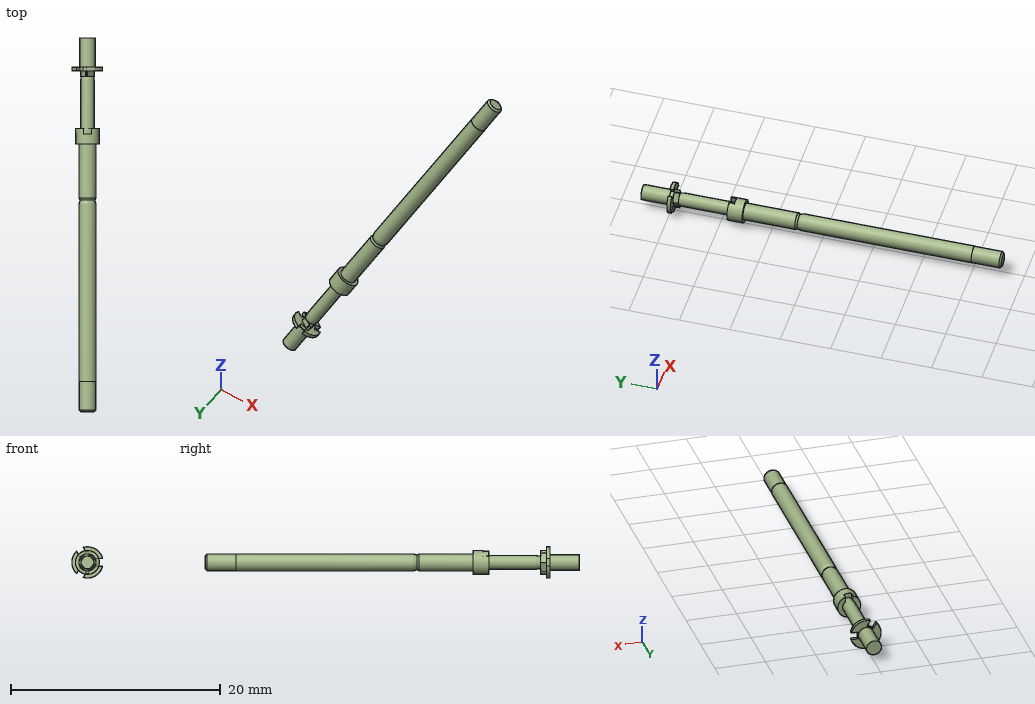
import cadquery as cq
import math

LENGTH = 35.7

TIP_DIAMETER = 1.6
SHAFT_DIAMETER = 1.32
BARREL_R = 0.82
TIP_R = TIP_DIAMETER / 2
TIP_FACE_R = 0.6
GROOVE_R = 0.7
COLLAR_R = 1.15
SHAFT_R = SHAFT_DIAMETER / 2
NECK_R = 0.6
FLANGE_R = 1.5
TAIL_R = 0.75

TIP_CHAMFER = 0.18
TIP_LENGTH = 2.93
GROOVE_START = 19.85
GROOVE_BOTTOM = 20.2
GROOVE_END = 20.42
COLLAR_START = 25.55
COLLAR_END = 27.05
NECK_START = 31.6
HUB_START = 32.02
FLANGE_START = 32.55
FLANGE_END = 32.9

SLOT_COUNT = 3
SLOT_WIDTH = 0.7
SLOT_FLOOR_R = 0.82

KEY_WIDTH = 0.75
KEY_LENGTH = 0.55

HUB_FACE_ANGLE = 30
HUB_HALF_HEIGHT = COLLAR_R
HUB_HALF_WIDTH = HUB_HALF_HEIGHT * math.tan(math.radians(HUB_FACE_ANGLE))


def front_body():
    profile = [
        (0, 0),
        (TIP_FACE_R, 0),
        (TIP_R, TIP_CHAMFER),
        (TIP_R, TIP_LENGTH),
        (BARREL_R, TIP_LENGTH),
        (BARREL_R, GROOVE_START),
        (GROOVE_R, GROOVE_BOTTOM),
        (BARREL_R, GROOVE_END),
        (BARREL_R, COLLAR_START),
        (COLLAR_R, COLLAR_START),
        (COLLAR_R, COLLAR_END),
        (SHAFT_R, COLLAR_END),
        (SHAFT_R, NECK_START),
        (NECK_R, HUB_START),
        (0, HUB_START),
    ]
    return cq.Workplane("XY").polyline(profile).close().revolve(360, (0, 0, 0), (0, 1, 0))


def disc(radius, start, end):
    return cq.Workplane("XZ", origin=(0, start, 0)).circle(radius).extrude(start - end)


def hub():
    outline = [
        (HUB_HALF_WIDTH, 0),
        (0, HUB_HALF_HEIGHT),
        (-HUB_HALF_WIDTH, 0),
        (0, -HUB_HALF_HEIGHT),
    ]
    plane = cq.Workplane("XZ", origin=(0, HUB_START, 0))
    return plane.polyline(outline).close().extrude(HUB_START - FLANGE_START)


def rim_slots():
    first_slot = cq.Workplane("XY").box(
        FLANGE_R, FLANGE_END - HUB_START, SLOT_WIDTH, centered=(False, False, True)
    ).translate((SLOT_FLOOR_R, HUB_START, 0))
    slots = first_slot
    for i in range(1, SLOT_COUNT):
        slots = slots.union(first_slot.rotate((0, 0, 0), (0, 1, 0), i * 360 / SLOT_COUNT))
    return slots


def key_slot():
    key_start = COLLAR_END - KEY_LENGTH
    block = cq.Workplane("XY").box(
        KEY_WIDTH, KEY_LENGTH, COLLAR_R, centered=(True, False, False)
    ).translate((0, key_start, 0))
    return block.cut(disc(SHAFT_R, key_start, COLLAR_END))


flange = disc(FLANGE_R, FLANGE_START, FLANGE_END)
tail = disc(TAIL_R, FLANGE_END, LENGTH)
slotted_head = flange.union(hub()).cut(rim_slots())
result = front_body().cut(key_slot()).union(slotted_head).union(tail)